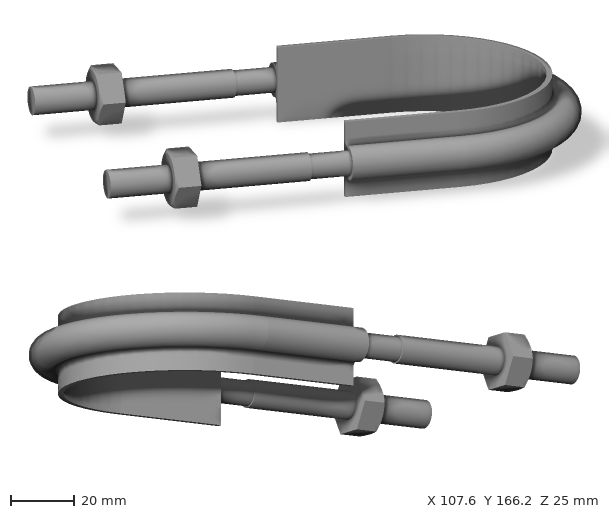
import cadquery as cq
import math

overall_length = 166.2
leg_pitch = 88.0
bend_radius = leg_pitch / 2
rod_diameter = 8.1
thread_diameter = 9.1
thread_length = 66.0

strip_inner_radius = 38.4
strip_outer_radius = 40.2
strip_width = 25.0
sleeve_radius = 5.5
sleeve_fillet = 1.3
liner_end_y = 79.3

nut_across_flats = 17.0
nut_height = 8.1
nut_end_y = 20.1
nut_chamfer_angle = 30.0
nut_face_diameter = 16.6

bend_center_y = overall_length - bend_radius - sleeve_radius


def xz_plane(y):
    """Sketch plane at position y along Y, with local axes along +X and +Z and its normal along -Y."""
    return cq.Workplane("XZ", origin=(0, y, 0))


def rod_section(plane):
    return plane.moveTo(bend_radius, 0).circle(rod_diameter / 2)


def liner_section(plane):
    """Strip with the sleeve bulging outward, blended into the strip by a fillet on each side."""
    fillet_x = strip_outer_radius + sleeve_fillet
    blend_distance = sleeve_radius + sleeve_fillet
    offset_x = fillet_x - bend_radius
    fillet_z = math.sqrt(blend_distance**2 - offset_x**2)

    sleeve_x = bend_radius + offset_x * sleeve_radius / blend_distance
    sleeve_z = fillet_z * sleeve_radius / blend_distance

    end_angle = math.atan2(-fillet_z, -offset_x) % (2 * math.pi)
    middle_angle = (math.pi + end_angle) / 2
    middle_x = fillet_x + sleeve_fillet * math.cos(middle_angle)
    middle_z = fillet_z + sleeve_fillet * math.sin(middle_angle)

    half_width = strip_width / 2
    return (
        plane.moveTo(strip_inner_radius, -half_width)
        .lineTo(strip_outer_radius, -half_width)
        .lineTo(strip_outer_radius, -fillet_z)
        .threePointArc((middle_x, -middle_z), (sleeve_x, -sleeve_z))
        .threePointArc((bend_radius + sleeve_radius, 0), (sleeve_x, sleeve_z))
        .threePointArc((middle_x, middle_z), (strip_outer_radius, fillet_z))
        .lineTo(strip_outer_radius, half_width)
        .lineTo(strip_inner_radius, half_width)
        .close()
    )


def make_u(draw_section, end_y):
    """Carry the section of the +X leg up that leg, around the bend and down the other leg."""
    right_leg = draw_section(xz_plane(end_y)).extrude(end_y - bend_center_y)
    left_leg = right_leg.mirror("YZ")
    bend = (
        draw_section(cq.Workplane("XZ"))
        .revolve(180, (0, 0, 0), (0, 1, 0))
        .translate((0, bend_center_y, 0))
    )
    return bend.union(right_leg).union(left_leg)


def make_u_bolt():
    bolt = make_u(rod_section, thread_length)
    for x in (-bend_radius, bend_radius):
        thread = xz_plane(0).moveTo(x, 0).circle(thread_diameter / 2).extrude(-thread_length)
        bolt = bolt.union(thread)
    return bolt


def make_liner(bolt):
    """Strip and sleeve, hollowed where the rod runs through."""
    return make_u(liner_section, liner_end_y).cut(bolt)


def make_nut(x):
    """Hexagon nut, corners pointing along X, chamfered on the face toward the leg end."""
    corner_radius = nut_across_flats / math.sqrt(3)
    face_radius = nut_face_diameter / 2
    chamfer_depth = (corner_radius - face_radius) * math.tan(math.radians(nut_chamfer_angle))
    hexagon = cq.Workplane("XZ").polygon(6, 2 * corner_radius).extrude(-nut_height)
    envelope = (
        cq.Workplane("XY")
        .polyline([
            (0, 0),
            (face_radius, 0),
            (corner_radius, chamfer_depth),
            (corner_radius, nut_height),
            (0, nut_height),
        ])
        .close()
        .revolve(360, (0, 0, 0), (0, 1, 0))
    )
    bore = cq.Workplane("XZ").circle(thread_diameter / 2).extrude(-nut_height)
    return hexagon.intersect(envelope).cut(bore).translate((x, nut_end_y, 0))


u_bolt = make_u_bolt()
liner = make_liner(u_bolt)
nuts = [make_nut(x) for x in (-bend_radius, bend_radius)]

result = cq.Compound.makeCompound([body.solids().val() for body in (u_bolt, liner, *nuts)])